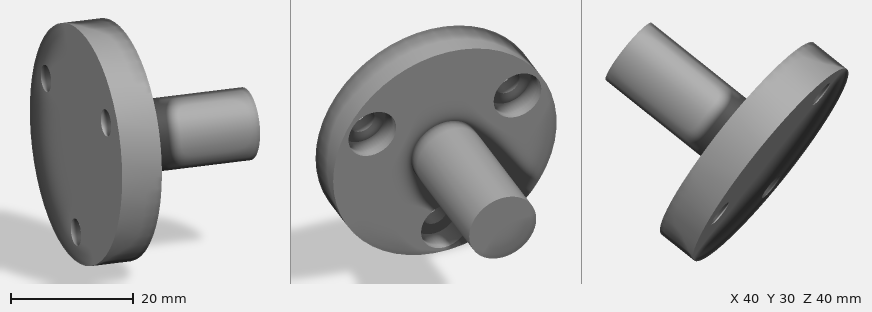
import cadquery as cq

flange_diameter = 40.0
flange_thickness = 7.0
shaft_diameter = 12.0
overall_length = 30.0
hole_diameter = 4.5
hole_circle_radius = 15.0
counterbore_diameter = 8.5
counterbore_depth = 4.2
hole_count = 3
first_hole_angle = -90.0

shaft_length = overall_length - flange_thickness


def cylinder_along_y(diameter, start_y, length):
    """Solid cylinder on the part axis, growing toward +Y from start_y."""
    base = cq.Workplane("XZ", origin=(0, start_y, 0))
    return base.circle(diameter / 2).extrude(-length)


def bolt_pattern(diameter, start_y, length):
    """Evenly spaced cylindrical cutters, growing toward +Y from start_y."""
    return (
        cq.Workplane("XZ", origin=(0, start_y, 0))
        .polarArray(hole_circle_radius, first_hole_angle, 360, hole_count)
        .circle(diameter / 2)
        .extrude(-length)
    )


through_holes = bolt_pattern(hole_diameter, 0, flange_thickness)
counterbore_floor = flange_thickness - counterbore_depth
counterbores = bolt_pattern(counterbore_diameter, counterbore_floor, counterbore_depth)

flange = cylinder_along_y(flange_diameter, 0, flange_thickness)
flange = flange.cut(through_holes).cut(counterbores)
shaft = cylinder_along_y(shaft_diameter, flange_thickness, shaft_length)

result = flange.union(shaft)